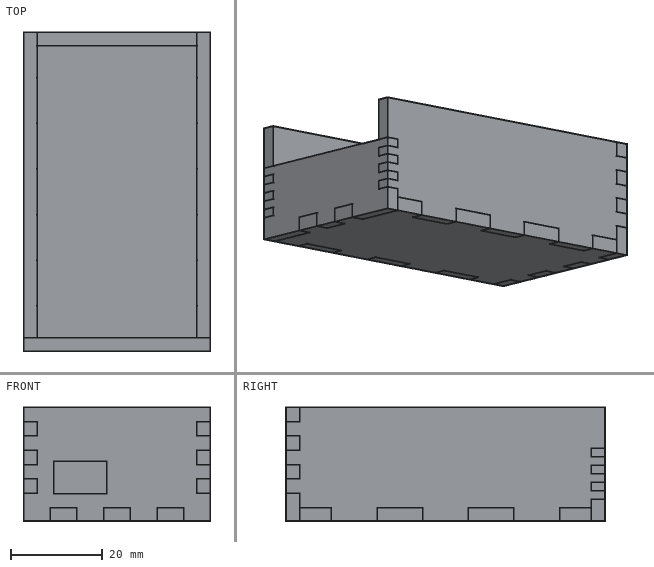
import cadquery as cq


width = 41.0
length = 70.0
height = 25.0
sheet = 3.0
back_height = 16.0

window_width = 11.7
window_height = 7.1
window_left = 6.6
window_sill = 6.0

steps = 7
width_step = width / steps
length_step = length / steps
front_step = (height - sheet) / steps
back_step = (back_height - sheet) / steps

front_tab_steps = (1, 3, 5)
back_tab_steps = (2, 4)

left = -width / 2
right = width / 2
front_face = -length / 2
back_face = length / 2


def block(x_range, y_range, z_range):
    """Axis-aligned box between the given pairs of limits."""
    x0, x1 = x_range
    y0, y1 = y_range
    z0, z1 = z_range
    return cq.Workplane("XY").box(x1 - x0, y1 - y0, z1 - z0, centered=False).translate((x0, y0, z0))


left_zone = (left, left + sheet)
right_zone = (right - sheet, right)
front_zone = (front_face, front_face + sheet)
back_zone = (back_face - sheet, back_face)
floor_zone = (0, sheet)


def make_floor():
    """Floor with tabs that reach through the four walls, leaving the corners to the walls."""
    inner_x = (left + sheet, right - sheet)
    inner_y = (front_face + sheet, back_face - sheet)
    floor = block(inner_x, inner_y, floor_zone)
    for tab_steps, y_zone in ((front_tab_steps, front_zone), (back_tab_steps, back_zone)):
        for step in tab_steps:
            tab_start = left + step * width_step
            floor = floor.union(block((tab_start, tab_start + width_step), y_zone, floor_zone))
    for step in range(0, steps, 2):
        tab_start = front_face + step * length_step
        tab_y = (max(tab_start, inner_y[0]), min(tab_start + length_step, inner_y[1]))
        floor = floor.union(block((left, right), tab_y, floor_zone))
    return floor


def make_end_panel(y_zone, panel_height, joint_step, floor):
    """Full-width end panel with notches at both edges for the side fingers, cut around the floor tabs."""
    panel = block((left, right), y_zone, (0, panel_height))
    for step in range(1, steps, 2):
        notch_base = sheet + step * joint_step
        notch_z = (notch_base, notch_base + joint_step)
        for x_zone in (left_zone, right_zone):
            panel = panel.cut(block(x_zone, y_zone, notch_z))
    return panel.cut(floor)


def cut_window(panel):
    """Rectangular opening through the front panel."""
    window_x = (left + window_left, left + window_left + window_width)
    window_z = (window_sill, window_sill + window_height)
    return panel.cut(block(window_x, front_zone, window_z))


def make_side(x_zone, floor, front, back):
    """Full-length side panel whose fingers fill the gaps left by the floor, front and back."""
    side = block(x_zone, (front_face, back_face), (0, height))
    return side.cut(floor).cut(front).cut(back)


floor = make_floor()
front = cut_window(make_end_panel(front_zone, height, front_step, floor))
back = make_end_panel(back_zone, back_height, back_step, floor)
sides = [make_side(x_zone, floor, front, back) for x_zone in (left_zone, right_zone)]

result = cq.Compound.makeCompound([
    floor.solids().val(),
    front.solids().val(),
    back.solids().val(),
    *[side.solids().val() for side in sides],
])